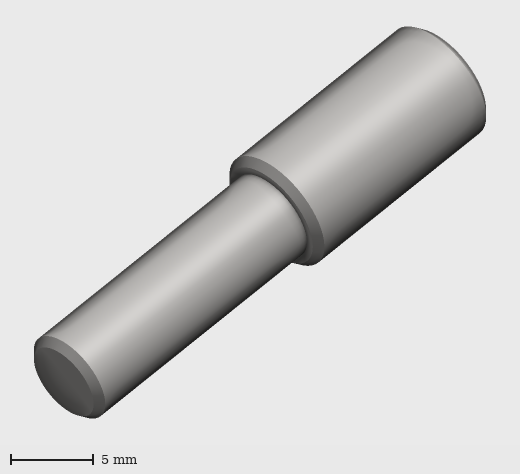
import cadquery as cq

total_length = 33.0
body_length = 15.0
body_diameter = 8.0
shank_diameter = 6.0
chamfer = 0.5

shank_length = total_length - body_length
front_y = -total_length / 2
shoulder_y = front_y + shank_length


def chamfered_cylinder(diameter, start_y, length, chamfered_edges):
    """Cylinder running along +Y from start_y, with the selected end edges chamfered."""
    start_plane = cq.Plane(origin=(0, start_y, 0), xDir=(1, 0, 0), normal=(0, 1, 0))
    cylinder = cq.Workplane(start_plane).circle(diameter / 2).extrude(length)
    return cylinder.faces(chamfered_edges).edges().chamfer(chamfer)


shank = chamfered_cylinder(shank_diameter, front_y, shank_length, "<Y")

body = chamfered_cylinder(body_diameter, shoulder_y, body_length, "<Y or >Y")

result = body.union(shank)